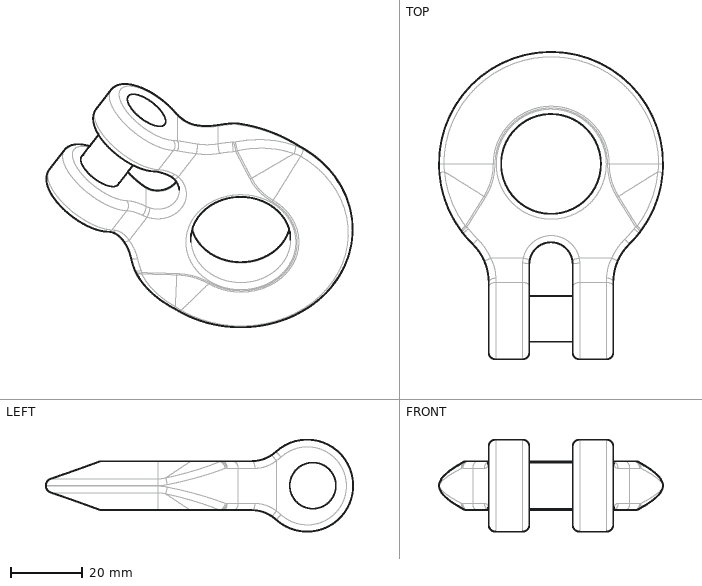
import cadquery as cq
import math

ring_diameter = 63.0
hole_radius = 14.0
plate_half_thickness = 6.9
rim_half_thickness = 1.5

crown_radius = 16.1
flare_radius = 17.3
flare_straight = 17.3
flare_angle = 32.0

overall_length = 86.45
lug_radius = 13.0
fork_half_width = 17.55
slot_radius = 6.05
slot_centre_y = -28.1
neck_side_radius = 15.0
neck_face_radius = 10.0
pin_radius = 6.5
pin_centre_y = -43.6

edge_fillet = 2.0
hole_fillet = 1.5
crease_fillet = 1.5

overshoot = 0.4
edge_margin = 0.4
tolerance = 0.01

ring_radius = ring_diameter / 2
fork_end_y = ring_radius - overall_length
slot_top_y = slot_centre_y + slot_radius
lug_centre_y = fork_end_y + lug_radius
flank_width = ring_radius - crown_radius
flank_run_per_drop = flank_width / (plate_half_thickness - rim_half_thickness)


def plan_outline():
    """Ring disc, neck and fork seen along Z, filled through the hole and the slot."""
    neck_arc_x = fork_half_width + neck_side_radius
    reach = ring_radius + neck_side_radius
    neck_arc_y = -math.sqrt(reach**2 - neck_arc_x**2)
    join_x = neck_arc_x * ring_radius / reach
    join_y = neck_arc_y * ring_radius / reach
    half_turn = math.atan2(-neck_arc_y + join_y, neck_arc_x - join_x) / 2
    mid_x = neck_arc_x - neck_side_radius * math.cos(half_turn)
    mid_y = neck_arc_y + neck_side_radius * math.sin(half_turn)
    return (
        cq.Workplane("XY")
        .moveTo(-fork_half_width, fork_end_y)
        .lineTo(fork_half_width, fork_end_y)
        .lineTo(fork_half_width, neck_arc_y)
        .threePointArc((mid_x, mid_y), (join_x, join_y))
        .threePointArc((0, ring_radius), (-join_x, join_y))
        .threePointArc((-mid_x, mid_y), (-fork_half_width, neck_arc_y))
        .close()
    )


def side_outline():
    """Plate and round lug seen along X, as (Y, Z)."""
    blend_z = plate_half_thickness + neck_face_radius
    reach = lug_radius + neck_face_radius
    blend_y = lug_centre_y + math.sqrt(reach**2 - blend_z**2)
    join_y = lug_centre_y + (blend_y - lug_centre_y) * lug_radius / reach
    join_z = blend_z * lug_radius / reach
    half_turn = math.atan2(blend_y - join_y, blend_z - join_z) / 2
    mid_y = blend_y - neck_face_radius * math.sin(half_turn)
    mid_z = blend_z - neck_face_radius * math.cos(half_turn)
    return (
        cq.Workplane("YZ")
        .moveTo(ring_radius, -plate_half_thickness)
        .lineTo(ring_radius, plate_half_thickness)
        .lineTo(blend_y, plate_half_thickness)
        .threePointArc((mid_y, mid_z), (join_y, join_z))
        .threePointArc((fork_end_y, 0), (join_y, -join_z))
        .threePointArc((mid_y, -mid_z), (blend_y, -plate_half_thickness))
        .close()
    )


def flank_profile():
    """Triangle above the slope of a flank, in the XZ plane on the +X side of the hole."""
    drop = overshoot / flank_run_per_drop
    top_z = plate_half_thickness + drop
    outer_x = ring_radius + overshoot
    return (
        cq.Workplane("XZ")
        .moveTo(crown_radius - overshoot, top_z)
        .lineTo(outer_x, top_z)
        .lineTo(outer_x, rim_half_thickness - drop)
        .close()
    )


def flank_cutters():
    """Solids that slope the upper plate face down to the rim, in the order of the cuts."""
    flare_axis_x = crown_radius + flare_radius
    half_ring = flank_profile().revolve(180, (0, 0), (0, 1))
    flare = flank_profile().revolve(flare_angle, (flare_axis_x, 0), (flare_axis_x, 1))
    straight = flank_profile().extrude(flare_straight)
    straight = straight.rotate((flare_axis_x, 0, 0), (flare_axis_x, 0, 1), flare_angle)
    return [half_ring, flare, flare.mirror("YZ"), straight, straight.mirror("YZ")]


def fork_slot():
    """Round-ended opening between the two lugs."""
    open_y = fork_end_y - overshoot
    return (
        cq.Workplane("XY")
        .moveTo(-slot_radius, open_y)
        .lineTo(-slot_radius, slot_centre_y)
        .threePointArc((0, slot_top_y), (slot_radius, slot_centre_y))
        .lineTo(slot_radius, open_y)
        .close()
        .extrude(lug_radius, both=True)
    )


def pin_blank():
    """Cylinder across both lugs, flush with their outer faces."""
    start = (-fork_half_width, pin_centre_y, 0)
    return cq.Workplane("YZ", origin=start).circle(pin_radius).extrude(2 * fork_half_width)


def is_on_ring_face(edge):
    """True for edges on the faces between the hole and the ring outline."""
    middle = edge.positionAt(0.5)
    radius = math.hypot(middle.x, middle.y)
    inside = hole_radius + edge_margin < radius < ring_radius - edge_margin
    return inside and middle.y > slot_top_y + edge_margin


def is_crease(edge):
    """True where a flat plate face breaks into a flank."""
    height = abs(edge.positionAt(0.5).z)
    return is_on_ring_face(edge) and abs(height - plate_half_thickness) < tolerance


def is_hole_rim(edge):
    """True for the two circles where the hole breaks out."""
    return edge.geomType() == "CIRCLE" and abs(edge.radius() - hole_radius) < tolerance


def is_outer_edge(edge):
    """True for the edges along the ring outline, the fork and the slot."""
    return not is_on_ring_face(edge) and not is_hole_rim(edge)


def link_body():
    """Ring and fork in one piece, with the pin's hole through both lugs."""
    plate = plan_outline().extrude(lug_radius, both=True)
    body = plate.intersect(side_outline().extrude(ring_radius, both=True))
    for cutter in flank_cutters():
        body = body.cut(cutter).cut(cutter.mirror("XY"))
    body = body.cut(fork_slot())

    body = body.edges().filter(is_crease).fillet(crease_fillet)
    body = body.edges("not(|X or |Z)").filter(is_outer_edge).fillet(edge_fillet)

    hole = cq.Workplane("XY").circle(hole_radius).extrude(lug_radius, both=True)
    body = body.cut(hole)
    body = body.edges().filter(is_hole_rim).fillet(hole_fillet)
    return body.cut(pin_blank())


link = link_body()
pin = pin_blank()

result = cq.Compound.makeCompound([link.solids().val(), pin.val()])